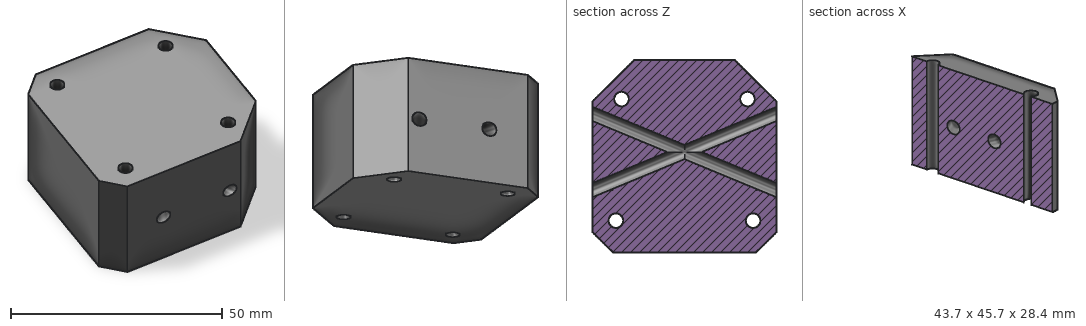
import cadquery as cq
import math

WIDTH = 43.7
DEPTH = 45.7
HEIGHT = 28.4
BACK_FLAT_WIDTH = 23.75
BACK_CUT_DEPTH = 9.9
FRONT_FLAT_WIDTH = 33.75
FRONT_CUT_DEPTH = 4.9

BOLT_DIAMETER = 3.4
BACK_BOLT_HALF_SPACING = 14.92
BACK_BOLT_Y = 13.55
FRONT_BOLT_HALF_SPACING = 16.25
FRONT_BOLT_Y = -15.25

CROSS_DIAMETER = 3.4
CROSS_CENTRE_Y = 1.0
CROSS_MOUTH_SPACING = 18.1
CROSS_HEIGHT = 13.4
CROSS_ANGLE = math.degrees(math.atan2(CROSS_MOUTH_SPACING, WIDTH))


def make_block():
    """Upright octagonal block with larger corner cuts at the back than at the front."""
    half_outline = [
        (0, -DEPTH / 2),
        (FRONT_FLAT_WIDTH / 2, -DEPTH / 2),
        (WIDTH / 2, -DEPTH / 2 + FRONT_CUT_DEPTH),
        (WIDTH / 2, DEPTH / 2 - BACK_CUT_DEPTH),
        (BACK_FLAT_WIDTH / 2, DEPTH / 2),
        (0, DEPTH / 2),
    ]
    return cq.Workplane("XY").polyline(half_outline).mirrorY().extrude(HEIGHT)


def make_bolt_holes():
    """Four upright cylinders, closer together at the back than at the front."""
    back_pair = [(side * BACK_BOLT_HALF_SPACING, BACK_BOLT_Y) for side in (-1, 1)]
    front_pair = [(side * FRONT_BOLT_HALF_SPACING, FRONT_BOLT_Y) for side in (-1, 1)]
    return cq.Workplane("XY").pushPoints(back_pair + front_pair).circle(BOLT_DIAMETER / 2).extrude(HEIGHT)


def make_cross_hole(turn_angle):
    """Level cylinder through the block, turned about Z from the X direction."""
    reach = WIDTH
    cylinder = cq.Workplane("YZ").circle(CROSS_DIAMETER / 2).extrude(reach, both=True)
    turned = cylinder.rotate((0, 0, 0), (0, 0, 1), turn_angle)
    return turned.translate((0, CROSS_CENTRE_Y, CROSS_HEIGHT))


result = make_block().cut(make_bolt_holes())
for direction in (-1, 1):
    result = result.cut(make_cross_hole(direction * CROSS_ANGLE))